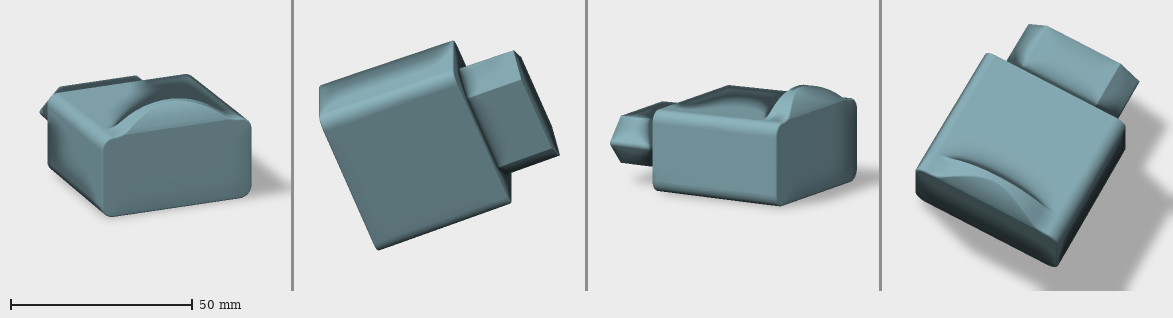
import cadquery as cq
import math


plug_length = 16.0
ridge_start = 49.2
seam = 50.75
total_length = 55.85

box_width = 44.95
box_height = 23.55
corner_radius = 3.5
edge_radius = 0.5
draft_angle = 0.5

plug_width = 36.05
plug_flat_width = 23.1
plug_height = 13.5
plug_tip_radius = 1.0
plug_corner_radius = 0.2

ridge_height = 6.25
crest_radius = 23.7
ridge_root = 1.7

scoop_start = 51.1
scoop_end_height = 0.2
scoop_bulge = 0.7
scoop_clearance = 5.6

box_top = box_height / 2
ridge_top = box_top + ridge_height
draft_slope = math.tan(math.radians(draft_angle))


def section_plane(x):
    """Workplane across the part at a given X; its local axes are Y and Z."""
    return cq.Workplane("YZ", origin=(x, 0, 0))


def box_section(x, inset):
    """Rounded rectangle at x, moved inward by inset on every side."""
    section = cq.Sketch().rect(box_width - 2 * inset, box_height - 2 * inset)
    return section_plane(x).placeSketch(section.vertices().fillet(corner_radius - inset))


def make_housing_box():
    """Drafted box that widens from its rounded front edge to the seam."""
    length = seam - plug_length
    box = box_section(plug_length, length * draft_slope).extrude(length, taper=-draft_angle)
    return box.faces("<X").edges().fillet(edge_radius)


def make_plug():
    """Hexagonal plug with rounded edges, drafted toward its tip."""
    inset = plug_length * draft_slope
    tip_y = plug_width / 2 - inset
    flat_y = plug_flat_width / 2
    flat_z = plug_height / 2 - inset
    outline = [
        (tip_y, 0),
        (flat_y, flat_z),
        (-flat_y, flat_z),
        (-tip_y, 0),
        (-flat_y, -flat_z),
        (flat_y, -flat_z),
    ]
    section = cq.Sketch().polygon(outline + outline[:1])
    section = section.vertices(">X or <X").fillet(plug_tip_radius)
    section = section.reset().vertices(">Y or <Y").fillet(plug_corner_radius)
    return section_plane(0).placeSketch(section).extrude(plug_length, taper=-draft_angle)


def make_ridge(start, end):
    """Ridge with a round crest that runs through concave feet into the flat top."""
    crest_center_z = ridge_top - crest_radius
    foot_y = box_width / 2 - corner_radius
    crest_depth = crest_radius - ridge_height
    foot_radius = (crest_depth**2 + foot_y**2 - crest_radius**2) / (2 * ridge_height)
    foot_center_z = box_top + foot_radius
    center_distance = crest_radius + foot_radius
    meet_y = foot_y * crest_radius / center_distance
    meet_z = crest_center_z + (foot_center_z - crest_center_z) * crest_radius / center_distance
    foot_half_angle = math.asin(foot_y / center_distance) / 2
    foot_mid_y = foot_y - foot_radius * math.sin(foot_half_angle)
    foot_mid_z = foot_center_z - foot_radius * math.cos(foot_half_angle)
    root_z = box_top - ridge_root
    return (
        section_plane(start)
        .moveTo(ridge_root - foot_y, root_z)
        .lineTo(-foot_y, box_top)
        .threePointArc((-foot_mid_y, foot_mid_z), (-meet_y, meet_z))
        .threePointArc((0, ridge_top), (meet_y, meet_z))
        .threePointArc((foot_mid_y, foot_mid_z), (foot_y, box_top))
        .lineTo(foot_y - ridge_root, root_z)
        .close()
        .extrude(end - start)
    )


def make_scoop_cutter():
    """Volume behind a gently convex slope from the ridge crest to the end face."""
    end_z = box_top + scoop_end_height
    run = total_length - scoop_start
    drop = ridge_top - end_z
    chord = math.hypot(run, drop)
    bulge_x = (scoop_start + total_length) / 2 + scoop_bulge * drop / chord
    bulge_z = (ridge_top + end_z) / 2 + scoop_bulge * run / chord
    outer_x = total_length + scoop_clearance
    outer_z = ridge_top + scoop_clearance
    return (
        cq.Workplane("XZ")
        .moveTo(scoop_start, ridge_top)
        .threePointArc((bulge_x, bulge_z), (total_length, end_z))
        .lineTo(outer_x, end_z)
        .lineTo(outer_x, outer_z)
        .lineTo(scoop_start, outer_z)
        .close()
        .extrude(box_width / 2, both=True)
    )


def make_housing():
    """Drafted box with the plug and the front part of the ridge."""
    return make_housing_box().union(make_plug()).union(make_ridge(ridge_start, seam))


def make_cap():
    """Closing cap with the scooped back part of the ridge, rounded along its back edges."""
    box = box_section(seam, 0).extrude(total_length - seam)
    cap = box.union(make_ridge(seam, total_length)).cut(make_scoop_cutter())
    scoop = cap.faces(cq.NearestToPointSelector((total_length, 0, ridge_top)))
    return cap.faces(">X").add(scoop).edges().fillet(edge_radius)


housing = make_housing()
cap = make_cap()

result = cq.Compound.makeCompound([housing.val(), cap.val()])